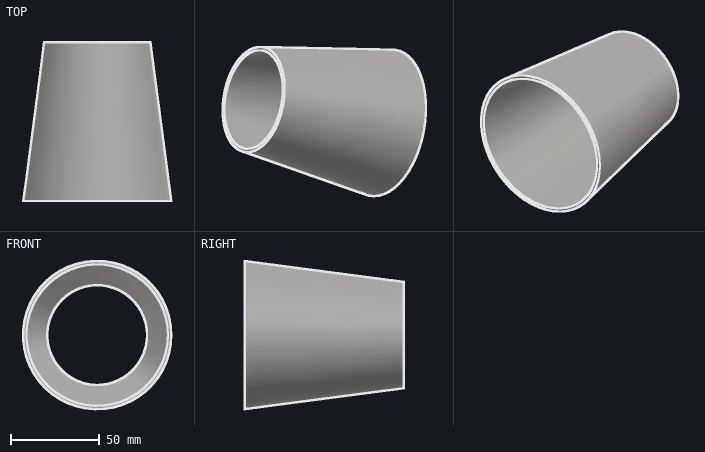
import cadquery as cq

length = 90.0
large_diameter = 84.0
small_diameter = 60.3
wall = 2.0

large_radius = large_diameter / 2
small_radius = small_diameter / 2
front_y = -length / 2
back_y = length / 2

wall_section = [
    (large_radius - wall, front_y),
    (large_radius, front_y),
    (small_radius, back_y),
    (small_radius - wall, back_y),
]

result = (
    cq.Workplane("XY")
    .polyline(wall_section)
    .close()
    .revolve(360, (0, 0, 0), (0, 1, 0))
)